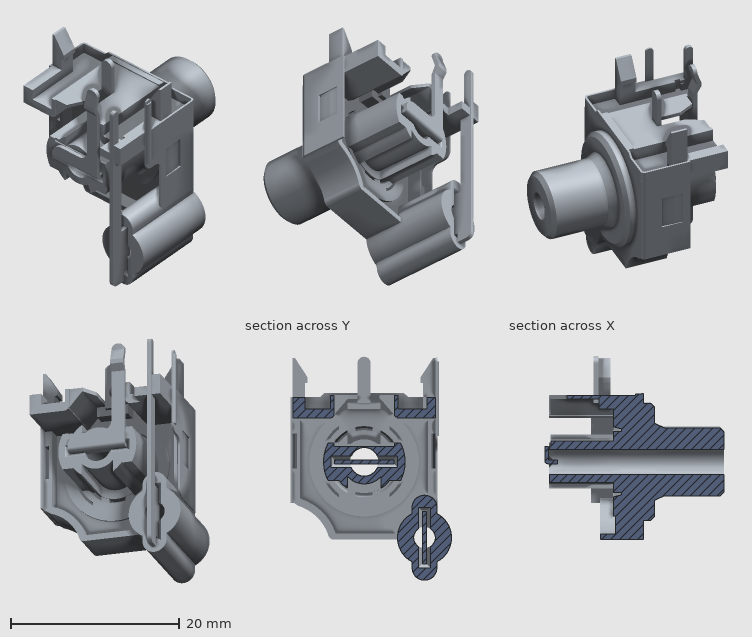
import cadquery as cq


flange_radius = 7.06
flange_length = 1.29
cone_base_radius = 4.67
barrel_radius = 4.175
cone_end = 2.39
barrel_end = 9.55
front_chamfer = 0.5
bore_radius = 1.68

body_half_width = 8.5
tray_depth = 5.2
tray_bottom = -9.26
corner_start_z = -4.8
corner_upper = (-7.84, -5.26)
corner_middle = (-5.6, -6.6)
corner_lower = (-4.3, -8.6)
corner_toe = (-4.12, -9.02)
corner_end_x = -3.8
tray_wall = 0.88
tray_bottom_wall = 0.73
floor_depth = 3.4
boss_radius = 6.53
boss_depth = 3.67
rear_depth = 11.27

deck_bottom = 5.2
channel_floor = 6.33
arm_top = 7.7
arm_inner_x = 7.04
deck_half_width = 4.04
deck_top = 7.93
lip_top = 8.09
lip_depth = 1.03
arm_extension_depth = 13.3
arm_extension_x = 5.3
wedge_outer_x = 3.59
notch_half_width = 1.95
wedge_low = 5.55
wedge_high = 7.46
slot_wall_bottom = 6.25

hook_front_depth = 3.96
hook_rear_depth = 5.98
hook_top = 12.3
hook_tip_flat = 0.3
hook_nose_x = 6.7
hook_nose_top = 10.0
hook_nose_bottom = 9.34

shell_half_width = 8.75
shell_thickness = 0.25
shell_depth = 6.27
shell_bend_radius = 0.5
shell_left_bottom = -4.9
shell_right_bottom = -5.36
shell_corner_radius = 1.0
crest_top = 8.19
crest_half_width = 4.72
crest_chamfer = 0.5
window_front_depth = 2.59
window_rear_depth = 5.3
window_low = -0.82
window_high = 3.34
window_gap = 0.16
tab_bend_depth = 4.23
window_recess = 0.5
tab_inset = 0.3
tab_thickness = 0.15
tab_tip_thickness = 0.35
lobe_bottom = 3.05
lobe_radius = 1.0
ground_pin_front_depth = 7.93
ground_pin_rear_depth = 8.94
ground_pin_top = 12.38
ground_pin_tip_radius = 0.49
ground_rib_height = 0.17
ground_rib_top = 11.9

wing_radius = 4.88
wing_half_height = 2.25
core_radius = 3.75
hub_radius = 2.65
inner_groove_radius = 4.25
outer_groove_radius = 5.2
outer_groove_min_x = 3.0
groove_key_half_width = 1.02
groove_depth = 1.0
groove_taper = 0.25
groove_step = 0.1
lead_in = 0.47
contact_slot_half_width = 4.03
contact_slot_half_height = 0.73

center_pin_width = 1.56
center_pin_front_depth = 5.4
center_pin_rear_depth = 5.98
center_pin_bottom = 6.98
center_pin_top = 12.48
flare_start_depth = 9.08
strip_thickness = 0.5
strip_bend_radius = 0.45
strip_front_depth = 11.32
strip_half_width = 3.56
strip_leg_width = 1.62
strip_shoulder = 1.88
strip_shoulder_radius = 1.5
strip_corner_radius = 1.2
strip_top = 12.75
strip_tip_radius = 0.75
strip_foot_half_height = 0.26
strip_clearance = 0.17
kink_rise = 0.5
kink_low = 9.24
kink_middle = 10.35
kink_crest_half_height = 0.27
kink_high = 12.0
insertion_depth = 1.0

post_x = 7.16
post_z = -9.02
post_radius = 3.24
post_hole_radius = 1.26
ear_radius = 1.5
ear_length = 10.16
ear_front_depth = 0.25
post_slot_width = 1.56
post_slot_length = 7.32
blade_thickness = 0.53
blade_rear_depth = 13.4
blade_front_depth = 11.83
blade_notch_depth = 11.16
blade_top = 12.38
blade_top_width = 1.0
blade_step = 7.3
blade_step_radius = 0.4
blade_shoulder = -5.9
blade_toe = -12.2
blade_bottom = -13.5
blade_toe_depth = 11.43
blade_corner_radius = 0.8


def section(depth):
    """Sketch plane facing the rear: local axes X and Z, extruding toward -Y."""
    return cq.Workplane("XZ", origin=(0, -depth, 0))


def side_section(x):
    """Sketch plane with local axes Y and Z, extruding toward +X."""
    return cq.Workplane("YZ", origin=(x, 0, 0))


def block(x0, x1, depth0, depth1, z0, z1):
    """Box from two X, two depth and two Z limits."""
    size = (x1 - x0, depth1 - depth0, z1 - z0)
    return cq.Workplane("XY").box(*size, centered=False).translate((x0, -depth1, z0))


def disc(radius, depth0, depth1):
    return section(depth0).circle(radius).extrude(depth1 - depth0)


def both_sides(shape):
    return shape.union(shape.mirror("YZ"))


def lead_in_pocket(x, z, width, height):
    """Pocket in the rear face whose four walls slope inward at 45 degrees."""
    return (
        section(rear_depth)
        .center(x, z)
        .rect(width, height)
        .workplane(offset=-lead_in)
        .rect(width - 2 * lead_in, height - 2 * lead_in)
        .loft()
    )


def make_bushing():
    profile = [
        (0, -floor_depth),
        (cone_base_radius, -floor_depth),
        (cone_base_radius, 0),
        (flange_radius, 0),
        (flange_radius, flange_length - front_chamfer),
        (flange_radius - front_chamfer, flange_length),
        (cone_base_radius, flange_length),
        (barrel_radius, cone_end),
        (barrel_radius, barrel_end - front_chamfer),
        (barrel_radius - front_chamfer, barrel_end),
        (0, barrel_end),
    ]
    return cq.Workplane("XY").polyline(profile).close().revolve(360, (0, 0), (0, 1))


def tray_outline(depth, bottom):
    """Tray outline with a concave lower-left corner."""
    return (
        section(depth)
        .moveTo(-body_half_width, channel_floor)
        .lineTo(-body_half_width, corner_start_z)
        .lineTo(*corner_upper)
        .threePointArc(corner_middle, corner_lower)
        .threePointArc(corner_toe, (corner_end_x, bottom))
        .lineTo(body_half_width, bottom)
        .lineTo(body_half_width, channel_floor)
        .close()
    )


def make_tray():
    cavity = (
        tray_outline(floor_depth, tray_bottom - tray_wall + tray_bottom_wall)
        .offset2D(-tray_wall)
        .extrude(tray_depth - floor_depth)
    )
    under_deck = block(
        -body_half_width, body_half_width, floor_depth, tray_depth, tray_bottom, deck_bottom
    )
    return tray_outline(0, tray_bottom).extrude(tray_depth).cut(cavity.intersect(under_deck))


def make_deck():
    left_arm = block(
        -body_half_width, -arm_inner_x, hook_front_depth, rear_depth, channel_floor, arm_top
    )
    right_extension = block(
        arm_extension_x, body_half_width, rear_depth, arm_extension_depth, deck_bottom, channel_floor
    )
    right_extension_arm = block(
        arm_inner_x, body_half_width, rear_depth, arm_extension_depth, channel_floor, arm_top
    )
    return (
        block(-body_half_width, body_half_width, 0, rear_depth, deck_bottom, channel_floor)
        .union(block(-deck_half_width, deck_half_width, 0, rear_depth, channel_floor, deck_top))
        .union(block(-deck_half_width, deck_half_width, 0, lip_depth, deck_top, lip_top))
        .union(both_sides(left_arm))
        .union(right_extension)
        .union(right_extension_arm)
    )


def make_deck_relief():
    """Round clearance with a sloped roof, between the floor boss and the deck."""
    roof = (
        section(floor_depth)
        .polyline([
            (-wedge_outer_x, deck_bottom),
            (-wedge_outer_x, wedge_low),
            (-notch_half_width, wedge_high),
            (notch_half_width, wedge_high),
            (wedge_outer_x, wedge_low),
            (wedge_outer_x, deck_bottom),
        ])
        .close()
        .extrude(rear_depth - floor_depth)
    )
    slot_wall = block(
        -notch_half_width, notch_half_width, 0, center_pin_front_depth, slot_wall_bottom, deck_top
    )
    round_clearance = disc(boss_radius, boss_depth, rear_depth)
    return roof.union(round_clearance).cut(slot_wall)


def make_blade_notch():
    """Notch in the right guide arm just ahead of the blade."""
    return block(
        arm_inner_x, post_x + blade_thickness / 2,
        blade_notch_depth, blade_front_depth, channel_floor, arm_top
    )


def make_pin_slot():
    """Slot for the center pin, flaring out at the rear edge of the deck."""
    half_width = center_pin_width / 2
    return (
        cq.Workplane("XY", origin=(0, 0, slot_wall_bottom))
        .polyline([
            (-half_width, -center_pin_front_depth),
            (-half_width, -flare_start_depth),
            (-notch_half_width, -rear_depth),
            (notch_half_width, -rear_depth),
            (half_width, -flare_start_depth),
            (half_width, -center_pin_front_depth),
        ])
        .close()
        .extrude(deck_top - slot_wall_bottom)
    )


def make_hooks():
    left_hook = (
        section(hook_front_depth)
        .polyline([
            (-body_half_width, channel_floor),
            (-body_half_width, hook_top),
            (-body_half_width + hook_tip_flat, hook_top),
            (-hook_nose_x, hook_nose_top),
            (-hook_nose_x, hook_nose_bottom),
            (-arm_inner_x, hook_nose_bottom),
            (-arm_inner_x, channel_floor),
        ])
        .close()
        .extrude(hook_rear_depth - hook_front_depth)
    )
    return both_sides(left_hook)


def make_contact_barrel():
    length = rear_depth - boss_depth
    wings = disc(wing_radius, boss_depth, rear_depth).intersect(
        block(-wing_radius, wing_radius, boss_depth, rear_depth, -wing_half_height, wing_half_height)
    )
    core = disc(core_radius, boss_depth, rear_depth)
    notch = (
        section(boss_depth)
        .rect(2 * notch_half_width, 2 * wing_radius)
        .extrude(length)
        .cut(disc(hub_radius, boss_depth, rear_depth))
    )
    return wings.union(core).cut(notch)


def make_floor_grooves():
    """Ring grooves in the floor boss around the contact barrel."""
    floor = -boss_depth
    groove_bottom = floor + groove_depth
    ring = (
        cq.Workplane("XY")
        .polyline([
            (core_radius, floor),
            (inner_groove_radius, floor),
            (inner_groove_radius - groove_taper, groove_bottom),
            (core_radius, groove_bottom),
        ])
        .close()
        .revolve(360, (0, 0), (0, 1))
    )
    shallow_ring = disc(inner_groove_radius, -floor - groove_step, -floor).cut(
        disc(core_radius, -floor - groove_step, -floor)
    )
    outer_ring = disc(outer_groove_radius, -groove_bottom, -floor).cut(
        disc(wing_radius, -groove_bottom, -floor)
    )
    wing_band = upright_band(wing_radius, wing_half_height)
    key_band = upright_band(groove_key_half_width, wing_radius)
    rib_band = upright_band(notch_half_width, wing_radius).cut(key_band)
    middle_band = upright_band(outer_groove_min_x, outer_groove_radius)
    inner_rings = ring.cut(rib_band).union(shallow_ring).cut(wing_band)
    return inner_rings.union(outer_ring.cut(middle_band))


def upright_band(half_width, half_height):
    return block(-half_width, half_width, 0, tray_depth, -half_height, half_height)


def make_shell():
    folded = (
        block(-shell_half_width, shell_half_width, 0, shell_depth, shell_right_bottom, crest_top)
        .edges("|Z and >Y")
        .fillet(shell_bend_radius)
    )
    hollow_half_width = shell_half_width - shell_thickness
    hollow = (
        block(-hollow_half_width, hollow_half_width, shell_thickness, shell_depth,
              shell_right_bottom, crest_top)
        .edges("|Z and >Y")
        .fillet(shell_bend_radius - shell_thickness)
    )
    outline = (
        section(0)
        .polyline([
            (-shell_half_width, shell_left_bottom),
            (-shell_half_width, arm_top),
            (-crest_half_width - crest_chamfer, arm_top),
            (-crest_half_width, crest_top),
            (crest_half_width, crest_top),
            (crest_half_width + crest_chamfer, arm_top),
            (shell_half_width, arm_top),
            (shell_half_width, shell_right_bottom),
            (body_half_width, shell_right_bottom),
            (body_half_width, shell_left_bottom),
        ])
        .close()
        .extrude(shell_depth)
    )
    shell = folded.cut(hollow).intersect(outline)
    shell = shell.faces("<Z").edges("<Y").fillet(shell_corner_radius)
    return shell.union(make_ground_pin())


def make_ground_pin():
    """Lobe on the right shell wall carrying the ribbed ground pin."""
    pin_width = ground_pin_rear_depth - ground_pin_front_depth
    pin_center = -(ground_pin_front_depth + ground_pin_rear_depth) / 2
    inner_x = shell_half_width - shell_thickness
    lobe = (
        side_section(inner_x)
        .moveTo(-shell_depth, arm_top)
        .lineTo(-ground_pin_rear_depth, arm_top)
        .lineTo(-ground_pin_rear_depth, lobe_bottom)
        .radiusArc((-ground_pin_rear_depth + lobe_radius, lobe_bottom - lobe_radius), -lobe_radius)
        .lineTo(-shell_depth - lobe_radius, lobe_bottom - lobe_radius)
        .radiusArc((-shell_depth, lobe_bottom - 2 * lobe_radius), lobe_radius)
        .close()
        .extrude(shell_thickness)
    )
    pin = block(
        inner_x, shell_half_width, ground_pin_front_depth, ground_pin_rear_depth,
        lobe_bottom, ground_pin_top
    )
    pin = pin.edges("|X and >Z").fillet(ground_pin_tip_radius)
    rib = (
        cq.Workplane("XY", origin=(shell_half_width, pin_center, lobe_bottom))
        .moveTo(0, -pin_width / 2)
        .threePointArc((ground_rib_height, 0), (0, pin_width / 2))
        .close()
        .extrude(ground_rib_top - lobe_bottom)
    )
    return lobe.union(pin).union(rib)


def make_windows():
    """Openings through both shell walls, continuing as recesses in the tray walls."""
    recess = block(
        -shell_half_width, -body_half_width + window_recess,
        window_front_depth, window_rear_depth, window_low, window_high
    )
    return both_sides(recess)


def make_spring_tabs():
    """Spring tabs bent inward inside the side windows."""
    outer_x = -body_half_width - tab_thickness
    tip_x = -body_half_width + tab_inset - tab_tip_thickness
    tip_depth = window_front_depth + window_gap
    tab = (
        cq.Workplane("XY", origin=(0, 0, window_low))
        .polyline([
            (outer_x, -shell_depth),
            (outer_x, -tab_bend_depth),
            (tip_x, -tip_depth),
            (tip_x + tab_tip_thickness, -tip_depth),
            (outer_x + tab_thickness, -tab_bend_depth),
            (outer_x + tab_thickness, -shell_depth),
        ])
        .close()
        .extrude(window_high - window_low)
    )
    return both_sides(tab)


def make_center_pin():
    half_width = center_pin_width / 2
    shoulder = center_pin_top - half_width
    return (
        section(center_pin_front_depth)
        .moveTo(-half_width, center_pin_bottom)
        .lineTo(-half_width, shoulder)
        .threePointArc((0, center_pin_top), (half_width, shoulder))
        .lineTo(half_width, center_pin_bottom)
        .close()
        .extrude(center_pin_rear_depth - center_pin_front_depth)
    )


def make_contact_strip():
    """L-shaped strip with a kinked leg and a foot pressed into the contact barrel."""
    leg_inner_x = strip_half_width - strip_leg_width
    face = (
        section(rear_depth)
        .moveTo(-strip_half_width, -strip_foot_half_height)
        .lineTo(-strip_half_width, strip_shoulder - strip_shoulder_radius)
        .radiusArc((-strip_half_width + strip_shoulder_radius, strip_shoulder), strip_shoulder_radius)
        .lineTo(leg_inner_x - strip_corner_radius, strip_shoulder)
        .radiusArc((leg_inner_x, strip_shoulder + strip_corner_radius), -strip_corner_radius)
        .lineTo(leg_inner_x, strip_top - strip_tip_radius)
        .radiusArc((leg_inner_x + strip_tip_radius, strip_top), strip_tip_radius)
        .lineTo(strip_half_width - strip_tip_radius, strip_top)
        .radiusArc((strip_half_width, strip_top - strip_tip_radius), strip_tip_radius)
        .lineTo(strip_half_width, -strip_foot_half_height)
        .close()
        .extrude(blade_rear_depth - rear_depth)
    )
    front = -strip_front_depth
    rear = front - strip_thickness
    bent_sheet = (
        side_section(-strip_half_width)
        .polyline([
            (front, -strip_foot_half_height),
            (front, kink_low),
            (front - kink_rise, kink_middle),
            (front, kink_high),
            (front, strip_top),
            (rear, strip_top),
            (rear, kink_high),
            (rear - kink_rise, kink_middle + kink_crest_half_height),
            (rear - kink_rise, kink_middle - kink_crest_half_height),
            (rear, kink_low),
            (rear, -strip_foot_half_height),
        ])
        .close()
        .extrude(2 * strip_half_width)
        .faces("<Z")
        .edges("<Y")
        .fillet(strip_bend_radius)
    )
    foot = block(
        -strip_half_width, strip_half_width, rear_depth - insertion_depth, strip_front_depth,
        -strip_foot_half_height, strip_foot_half_height
    )
    return face.intersect(bent_sheet).union(foot)


def make_post():
    ear_depth = rear_depth - ear_front_depth
    return (
        section(0)
        .center(post_x, post_z)
        .circle(post_radius)
        .extrude(rear_depth)
        .union(section(ear_front_depth).center(post_x, post_z)
               .slot2D(ear_length, 2 * ear_radius, 90).extrude(ear_depth))
    )


def make_blade():
    """Flat solder blade standing in the slot of the post."""
    neck_depth = blade_rear_depth - blade_top_width
    tip_radius = blade_top_width / 2
    tongue_depth = rear_depth - insertion_depth
    outline = (
        side_section(post_x - blade_thickness / 2)
        .moveTo(-blade_rear_depth, blade_top - tip_radius)
        .threePointArc((-blade_rear_depth + tip_radius, blade_top), (-neck_depth, blade_top - tip_radius))
        .lineTo(-neck_depth, blade_step + blade_step_radius)
        .radiusArc((-neck_depth + blade_step_radius, blade_step), -blade_step_radius)
        .lineTo(-blade_front_depth, blade_step)
        .lineTo(-blade_front_depth, blade_shoulder)
        .lineTo(-tongue_depth, blade_shoulder)
        .lineTo(-tongue_depth, blade_toe)
        .lineTo(-blade_toe_depth, blade_toe)
        .lineTo(-blade_toe_depth, blade_bottom)
        .lineTo(-blade_rear_depth + blade_corner_radius, blade_bottom)
        .radiusArc((-blade_rear_depth, blade_bottom + blade_corner_radius), blade_corner_radius)
        .close()
    )
    return outline.extrude(blade_thickness)


post_slot = lead_in_pocket(post_x, post_z, post_slot_width, post_slot_length)
post_hole = section(0).center(post_x, post_z).circle(post_hole_radius).extrude(rear_depth)
contact_slot = lead_in_pocket(0, 0, 2 * contact_slot_half_width, 2 * contact_slot_half_height)

strip_recess = block(
    -strip_half_width, strip_half_width, rear_depth - strip_clearance, rear_depth,
    strip_shoulder, deck_top
)

housing = make_tray().union(make_deck()).union(make_bushing())
housing = housing.cut(make_deck_relief()).cut(make_pin_slot()).cut(make_blade_notch())
housing = housing.union(disc(boss_radius, 0, boss_depth))
housing = housing.union(make_hooks()).union(make_shell())
housing = housing.union(make_contact_barrel()).cut(make_floor_grooves())
housing = housing.cut(contact_slot).cut(strip_recess)
housing = housing.cut(disc(bore_radius, -barrel_end, rear_depth))
housing = housing.cut(make_windows()).union(make_spring_tabs())
housing = housing.union(make_post()).cut(post_slot).cut(post_hole)

result = housing.union(make_center_pin()).union(make_contact_strip()).union(make_blade())